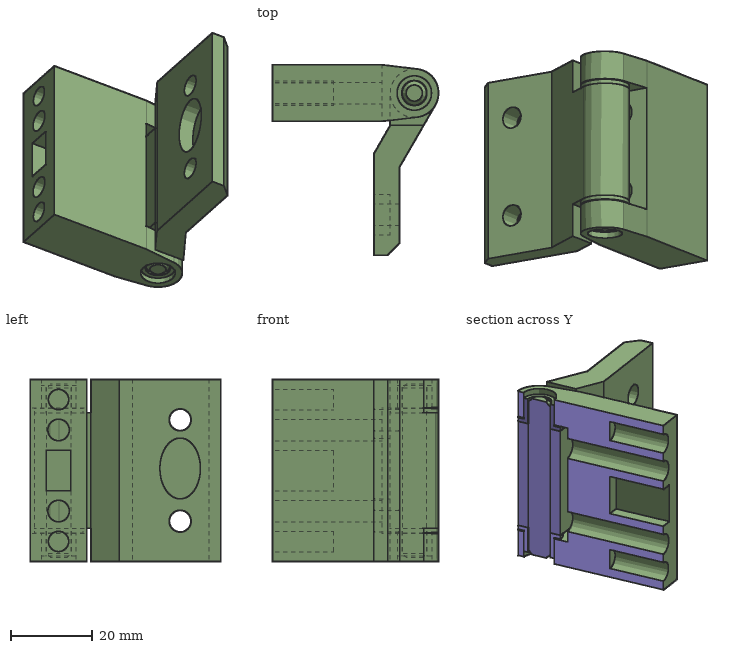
import cadquery as cq
import math


hinge_height = 45.0
mid_height = hinge_height / 2
knuckle_radius = 6.0
pin_diameter = 6.0

housing_back_x = -35.01
housing_half_thickness = 7.0
taper_start_x = -8.0
ear_height = 7.0
bushing_seat_diameter = 8.5

dowel_hole_diameter = 5.0
dowel_hole_spacing = 35.0
dowel_hole_depth = 15.0
screw_hole_diameter = 5.3
screw_hole_spacing = 20.0
socket_width = 6.0
socket_height = 10.0
socket_depth = 15.0

leaf_back_x = -10.0
leaf_thickness = 6.4
leaf_front_x = leaf_back_x + leaf_thickness
leaf_top_y = -8.0
leaf_bend_y = -15.0
leaf_end_y = -40.03
leaf_slope_from_y = math.radians(30)
leaf_end_chamfer = 3.0
tab_height = 28.6
tab_bottom_z = mid_height - tab_height / 2

leaf_hole_y = -30.0
leaf_hole_diameter = 5.3
leaf_hole_spacing = 25.0
oval_width = 10.0
oval_height = 15.0
oval_depth = 4.0
oval_center_z = 23.0

flange_thickness = 1.0
bushing_bore_diameter = 6.2
bushing_end_recess = 1.5
pin_end_recess = 1.1
pin_chamfer = 1.0


def make_housing():
    corner_distance = math.hypot(taper_start_x, housing_half_thickness)
    corner_angle = math.atan2(housing_half_thickness, -taper_start_x)
    taper_angle = corner_angle - math.asin(knuckle_radius / corner_distance)
    tangent_x = knuckle_radius * math.sin(taper_angle)
    tangent_y = knuckle_radius * math.cos(taper_angle)
    body = (
        cq.Workplane("XY")
        .moveTo(housing_back_x, -housing_half_thickness)
        .lineTo(taper_start_x, -housing_half_thickness)
        .lineTo(tangent_x, -tangent_y)
        .threePointArc((knuckle_radius, 0), (tangent_x, tangent_y))
        .lineTo(taper_start_x, housing_half_thickness)
        .lineTo(housing_back_x, housing_half_thickness)
        .close()
        .extrude(hinge_height)
    )

    notch_length = knuckle_radius - taper_start_x
    notch = cq.Workplane("XY").box(
        notch_length, 2 * housing_half_thickness, hinge_height - 2 * ear_height,
        centered=(False, True, False),
    ).translate((taper_start_x, 0, ear_height))
    bushing_seat = cq.Workplane("XY").circle(bushing_seat_diameter / 2).extrude(hinge_height)

    back_face = cq.Workplane("YZ", origin=(housing_back_x, 0, mid_height))
    dowel_holes = (
        back_face.rarray(1, dowel_hole_spacing, 1, 2)
        .circle(dowel_hole_diameter / 2).extrude(dowel_hole_depth)
    )
    screw_holes = (
        back_face.rarray(1, screw_hole_spacing, 1, 2)
        .circle(screw_hole_diameter / 2).extrude(taper_start_x - housing_back_x)
    )
    socket = back_face.rect(socket_width, socket_height).extrude(socket_depth)
    return body.cut(notch).cut(bushing_seat).cut(dowel_holes).cut(screw_holes).cut(socket)


def make_leaf():
    tangent_x = knuckle_radius * math.cos(leaf_slope_from_y)
    tangent_y = -knuckle_radius * math.sin(leaf_slope_from_y)
    slope = math.tan(leaf_slope_from_y)
    top_front_x = tangent_x + (leaf_top_y - tangent_y) * slope
    front_bend_y = tangent_y + (leaf_front_x - tangent_x) / slope

    plate = (
        cq.Workplane("XY")
        .moveTo(-knuckle_radius, leaf_top_y)
        .lineTo(leaf_back_x, leaf_bend_y)
        .lineTo(leaf_back_x, leaf_end_y)
        .lineTo(leaf_front_x - leaf_end_chamfer, leaf_end_y)
        .lineTo(leaf_front_x, leaf_end_y + leaf_end_chamfer)
        .lineTo(leaf_front_x, front_bend_y)
        .lineTo(top_front_x, leaf_top_y)
        .close()
        .extrude(hinge_height)
    )
    tab = (
        cq.Workplane("XY", origin=(0, 0, tab_bottom_z))
        .moveTo(-knuckle_radius, leaf_top_y)
        .lineTo(top_front_x, leaf_top_y)
        .lineTo(tangent_x, tangent_y)
        .threePointArc((0, knuckle_radius), (-knuckle_radius, 0))
        .close()
        .extrude(tab_height)
    )
    pin_hole = cq.Workplane("XY").circle(pin_diameter / 2).extrude(hinge_height)

    back_face = cq.Workplane("YZ", origin=(leaf_back_x, leaf_hole_y, mid_height))
    screw_holes = (
        back_face.rarray(1, leaf_hole_spacing, 1, 2)
        .circle(leaf_hole_diameter / 2).extrude(leaf_thickness)
    )
    oval_recess = (
        cq.Workplane("YZ", origin=(leaf_back_x, leaf_hole_y, oval_center_z))
        .ellipse(oval_width / 2, oval_height / 2).extrude(oval_depth)
    )
    return plate.union(tab).cut(pin_hole).cut(screw_holes).cut(oval_recess)


def make_top_bushing():
    """Flange resting on the leaf tab, sleeve reaching up into the housing ear."""
    flange_bottom_z = tab_bottom_z + tab_height
    bushing_length = hinge_height - bushing_end_recess - flange_bottom_z
    base = cq.Workplane("XY", origin=(0, 0, flange_bottom_z))
    flange = base.circle(knuckle_radius).extrude(flange_thickness)
    sleeve = base.circle(bushing_seat_diameter / 2).extrude(bushing_length)
    bore = base.circle(bushing_bore_diameter / 2).extrude(bushing_length)
    return flange.union(sleeve).cut(bore)


def make_pin():
    return (
        cq.Workplane("XY", origin=(0, 0, pin_end_recess))
        .circle(pin_diameter / 2).extrude(hinge_height - 2 * pin_end_recess)
        .faces("<Z or >Z").chamfer(pin_chamfer)
    )


housing = make_housing()
leaf = make_leaf()
top_bushing = make_top_bushing()
bottom_bushing = top_bushing.mirror("XY", (0, 0, mid_height))
pin = make_pin()

result = cq.Compound.makeCompound([
    housing.val(),
    leaf.val(),
    top_bushing.val(),
    bottom_bushing.val(),
    pin.val(),
])